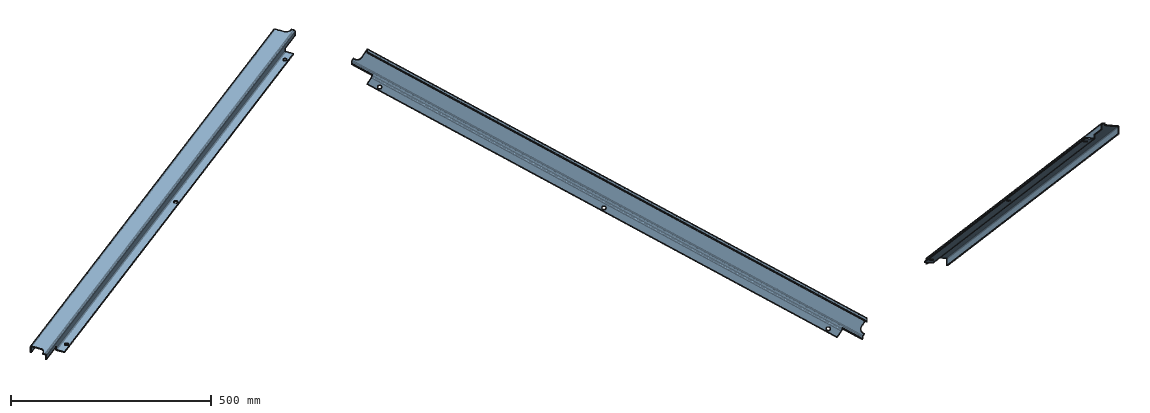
import cadquery as cq

length = 1481.0
width = 74.0
height = 28.0
thickness = 3.0
bend_radius = 5.0

web_outer_x = 52.0
lip_depth = 20.0

short_length = 1448.0
flange_length = 1363.0
tongue_width = 10.0
notch_radius = 13.0
web_end_depth = 16.0

hole_diameter = 10.0
hole_x = 65.0
hole_spacing = 650.0

web_inner_x = web_outer_x - thickness
inner_radius = bend_radius - thickness


def box(x_min, x_max, y_size, z_min, z_max):
    """Block centred on Y, given by its X and Z limits."""
    return cq.Workplane("XY").box(
        x_max - x_min, y_size, z_max - z_min, centered=(False, True, False)
    ).translate((x_min, 0, z_min))


def bent_sheet():
    """Lip, top, web and flange as one sheet of constant thickness."""
    profile = (
        cq.Workplane("XZ")
        .moveTo(0, height - lip_depth)
        .lineTo(0, height)
        .lineTo(web_outer_x, height)
        .lineTo(web_outer_x, thickness)
        .lineTo(width, thickness)
        .lineTo(width, 0)
        .lineTo(web_inner_x, 0)
        .lineTo(web_inner_x, height - thickness)
        .lineTo(thickness, height - thickness)
        .lineTo(thickness, height - lip_depth)
        .close()
        .extrude(length / 2, both=True)
    )
    outer_bends = [(0, height), (web_outer_x, height), (web_inner_x, 0)]
    inner_bends = [
        (thickness, height - thickness),
        (web_inner_x, height - thickness),
        (web_outer_x, thickness),
    ]
    for corners, radius in ((outer_bends, bend_radius), (inner_bends, inner_radius)):
        for x, z in corners:
            edge = cq.selectors.NearestToPointSelector((x, 0, z))
            profile = profile.edges("|Y").edges(edge).fillet(radius)
    return profile


def end_notch(side):
    """Cut that shortens the top and lip, with a rounded corner beside the tongue."""
    tongue_x = web_outer_x - tongue_width
    return (
        cq.Workplane("XY")
        .moveTo(0, side * short_length / 2)
        .lineTo(tongue_x - notch_radius, side * short_length / 2)
        .radiusArc((tongue_x, side * (short_length / 2 + notch_radius)), -side * notch_radius)
        .lineTo(tongue_x, side * length / 2)
        .lineTo(0, side * length / 2)
        .close()
        .extrude(height)
    )


def flange_cut(side):
    """Cut that removes the flange and the lower web near one end."""
    cut_length = (length - flange_length) / 2
    cut = box(web_inner_x - bend_radius, width, cut_length, 0, height - web_end_depth)
    return cut.translate((0, side * (flange_length + cut_length) / 2, 0))


result = bent_sheet()
for side in (-1, 1):
    result = result.cut(end_notch(side)).cut(flange_cut(side))

for y in (-hole_spacing, 0, hole_spacing):
    hole = cq.Workplane("XY").center(hole_x, y).circle(hole_diameter / 2).extrude(thickness)
    result = result.cut(hole)